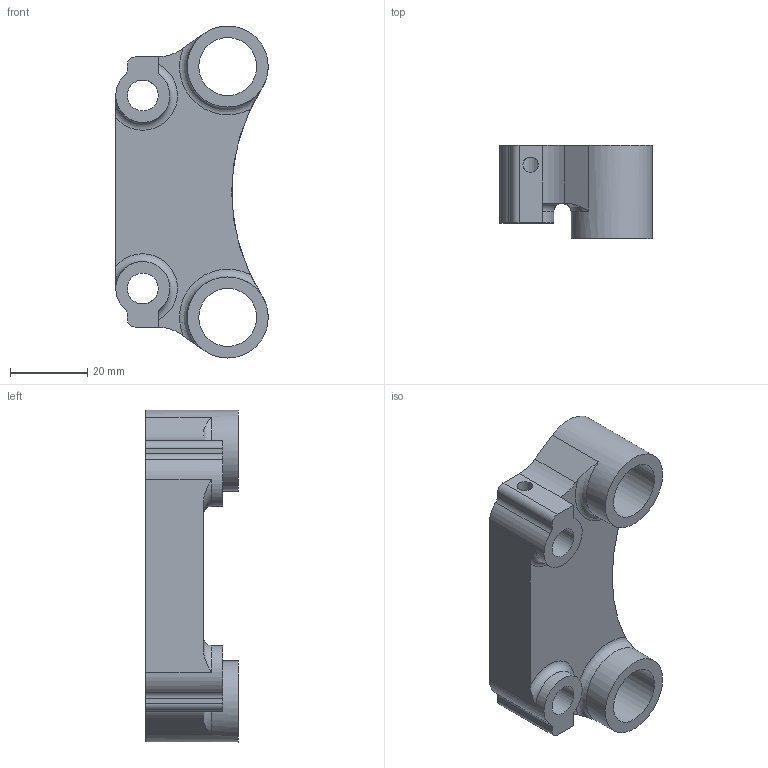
import cadquery as cq
import math

PLATE_DEPTH = 15.0
PIN_BOSS_DEPTH = 20.0
MAIN_BOSS_DEPTH = 24.0

MAIN_X = 29.0
MAIN_Z = 32.5
MAIN_RADIUS = 10.5
MAIN_BORE = 15.0

PIN_RADIUS = 7.0
PIN_X = PIN_RADIUS
PIN_Z = 25.0
PIN_BORE = 8.0

LUG_LEFT = PIN_X - PIN_BORE / 2
LUG_RIGHT = PIN_X + PIN_BORE / 2
LUG_TOP = 35.0
LUG_CORNER = 2.0
LUG_ROOT = 2.0

SCREW_DIAMETER = 4.0
SCREW_X = (LUG_LEFT + LUG_CORNER + LUG_RIGHT) / 2
SCREW_BACK_OFFSET = 5.0

SHOULDER_RADIUS = 10.0
WAIST_RADIUS = 50.0
BOSS_FILLET = 2.0

UP_LEFT = math.radians(135)


def front_plane():
    """XZ workplane on the back face; extrusions grow toward -Y."""
    return cq.Workplane("XZ")


def on_circle(x, z, radius, angle):
    """Point at an angle on a circle centred at (x, z)."""
    return (x + radius * math.cos(angle), z + radius * math.sin(angle))


def plate_half(depth):
    """Upper half of the plate, from Z = 0 to the centre of the main boss."""
    shoulder_z = LUG_TOP + SHOULDER_RADIUS
    run = MAIN_X - LUG_RIGHT
    drop = shoulder_z - MAIN_Z
    cross_angle = math.asin((SHOULDER_RADIUS + MAIN_RADIUS) / math.hypot(run, drop))
    slope = cross_angle - math.atan2(drop, run)
    shoulder_mid = on_circle(LUG_RIGHT, shoulder_z, SHOULDER_RADIUS, (slope - math.pi) / 2)
    shoulder_end = on_circle(LUG_RIGHT, shoulder_z, SHOULDER_RADIUS, slope - math.pi / 2)
    boss_touch = on_circle(MAIN_X, MAIN_Z, MAIN_RADIUS, slope + math.pi / 2)

    waist_x = MAIN_X + math.sqrt((WAIST_RADIUS + MAIN_RADIUS) ** 2 - MAIN_Z**2)
    waist_angle = math.atan2(MAIN_Z, MAIN_X - waist_x)
    waist_touch = on_circle(waist_x, 0, WAIST_RADIUS, waist_angle)
    waist_mid = on_circle(waist_x, 0, WAIST_RADIUS, (waist_angle + math.pi) / 2)
    waist_end = (waist_x - WAIST_RADIUS, 0)

    return (
        front_plane()
        .moveTo(0, 0)
        .lineTo(0, PIN_Z)
        .lineTo(PIN_X, PIN_Z)
        .lineTo(PIN_X, LUG_TOP)
        .lineTo(LUG_RIGHT, LUG_TOP)
        .threePointArc(shoulder_mid, shoulder_end)
        .lineTo(*boss_touch)
        .lineTo(MAIN_X, MAIN_Z)
        .lineTo(*waist_touch)
        .threePointArc(waist_mid, waist_end)
        .close()
        .extrude(depth)
    )


def cylinder(x, z, radius, depth):
    """Round body along Y from the back face, used for the bosses and their bores."""
    return front_plane().center(x, z).circle(radius).extrude(depth)


def lug():
    """Lug with a rounded outer corner and a concave root blending into the pin boss."""
    root_x = LUG_LEFT - LUG_ROOT
    root_angle = math.acos((root_x - PIN_X) / (PIN_RADIUS + LUG_ROOT))
    root_z = PIN_Z + (PIN_RADIUS + LUG_ROOT) * math.sin(root_angle)
    root_start = on_circle(PIN_X, PIN_Z, PIN_RADIUS, root_angle)
    root_mid = on_circle(root_x, root_z, LUG_ROOT, (root_angle - math.pi) / 2)
    corner_mid = on_circle(LUG_LEFT + LUG_CORNER, LUG_TOP - LUG_CORNER, LUG_CORNER, UP_LEFT)
    return (
        front_plane()
        .moveTo(LUG_RIGHT, PIN_Z)
        .lineTo(LUG_RIGHT, LUG_TOP)
        .lineTo(LUG_LEFT + LUG_CORNER, LUG_TOP)
        .threePointArc(corner_mid, (LUG_LEFT, LUG_TOP - LUG_CORNER))
        .lineTo(LUG_LEFT, root_z)
        .threePointArc(root_mid, root_start)
        .lineTo(PIN_X, PIN_Z)
        .close()
        .extrude(PIN_BOSS_DEPTH)
    )


def fillet_ring(x, z, radius):
    """Disc on the plate face whose rim is the concave fillet around a boss."""
    outer = radius + BOSS_FILLET
    top = PLATE_DEPTH + BOSS_FILLET
    arc_mid = on_circle(outer, -top, BOSS_FILLET, UP_LEFT)
    return (
        cq.Workplane("XY")
        .moveTo(0, -PLATE_DEPTH)
        .lineTo(outer, -PLATE_DEPTH)
        .threePointArc(arc_mid, (radius, -top))
        .lineTo(0, -top)
        .close()
        .revolve(360, (0, 0, 0), (0, 1, 0))
        .translate((x, 0, z))
    )


def screw_hole():
    return (
        cq.Workplane("XY", origin=(SCREW_X, -SCREW_BACK_OFFSET, PIN_Z))
        .circle(SCREW_DIAMETER / 2)
        .extrude(LUG_TOP - PIN_Z)
    )


def upper_half():
    half = plate_half(PLATE_DEPTH)
    outline = plate_half(PLATE_DEPTH + BOSS_FILLET)
    half = half.union(fillet_ring(MAIN_X, MAIN_Z, MAIN_RADIUS).intersect(outline))
    half = half.union(fillet_ring(PIN_X, PIN_Z, PIN_RADIUS).intersect(outline))
    half = half.union(cylinder(MAIN_X, MAIN_Z, MAIN_RADIUS, MAIN_BOSS_DEPTH))
    half = half.union(cylinder(PIN_X, PIN_Z, PIN_RADIUS, PIN_BOSS_DEPTH))
    half = half.union(lug())
    half = half.cut(cylinder(MAIN_X, MAIN_Z, MAIN_BORE / 2, MAIN_BOSS_DEPTH))
    half = half.cut(cylinder(PIN_X, PIN_Z, PIN_BORE / 2, PIN_BOSS_DEPTH))
    return half.cut(screw_hole())


upper = upper_half()
result = upper.union(upper.mirror("XY")).clean()